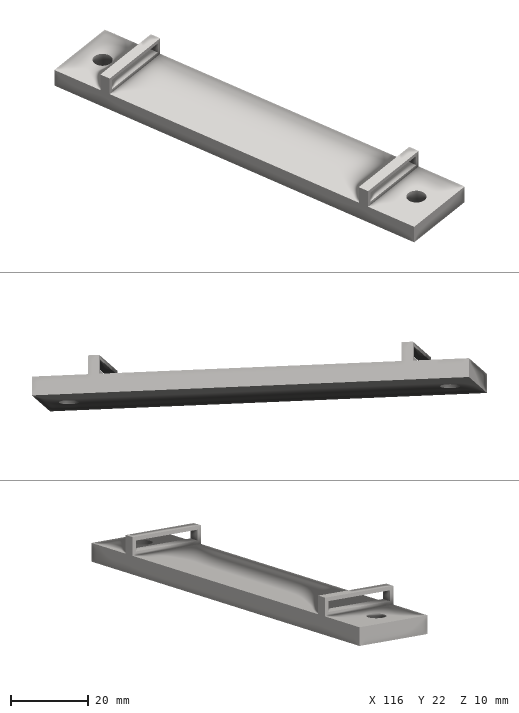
import cadquery as cq

length = 116.0
width = 22.0
overall_height = 10.0
base_height = overall_height / 2

hole_diameter = 5.2
hole_end_distance = 7.4

loop_thickness = 3.0
loop_end_distance = 14.8
loop_wall = 1.0
loop_height = overall_height - base_height


def base_plate():
    """Flat bar standing on Z = 0, with a through hole near each end."""
    hole_x = length / 2 - hole_end_distance
    return (
        cq.Workplane("XY")
        .box(length, width, base_height, centered=(True, True, False))
        .faces(">Z")
        .workplane()
        .pushPoints([(-hole_x, 0), (hole_x, 0)])
        .hole(hole_diameter)
    )


def strap_loop(center_x):
    """Upright rectangular frame across the bar, open along X."""
    loop = cq.Workplane("XY").box(loop_thickness, width, loop_height)
    window = cq.Workplane("XY").box(
        loop_thickness, width - 2 * loop_wall, loop_height - 2 * loop_wall
    )
    return loop.cut(window).translate((center_x, 0, base_height + loop_height / 2))


loop_x = length / 2 - loop_end_distance - loop_thickness / 2
result = base_plate()
for side in (-1, 1):
    result = result.union(strap_loop(side * loop_x))